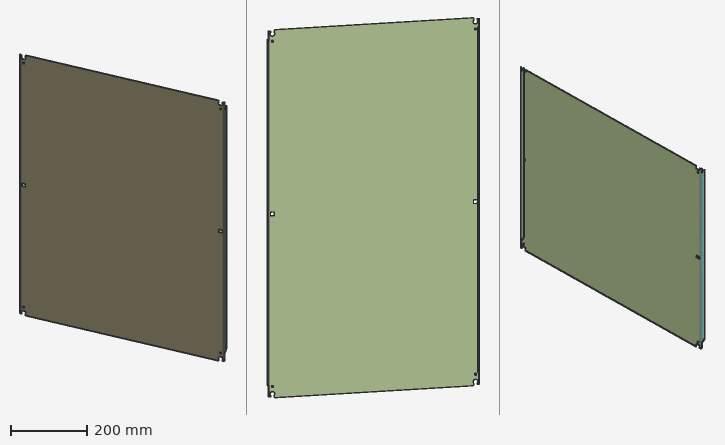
import cadquery as cq

width = 563.0
depth = 19.0
height = 1020.0
sheet = 2.5
bend_inner_radius = 1.0
bend_outer_radius = bend_inner_radius + sheet
bend_tab_depth = 5.0

flange_end_gap = 32.0
flange_corner = 3.0
bend_end_gap = 5.0

edge_to_openings = 11.0
mouth_width = 9.0
relief_diameter = 12.0
relief_depth = 17.0
corner_hole_diameter = 5.0
corner_hole_inset = 32.0
middle_hole_size = 10.0
tab_drop = 3.6
panel_corner = 2.0

opening_x = width / 2 - edge_to_openings
front_y = -depth / 2
back_y = depth / 2
clearance = 10.0
cut_depth = 2 * depth


def through_cutter(x, z, size_x, size_z):
    """Rectangular cutter running through the panel along Y."""
    return cq.Workplane("XY").box(size_x, cut_depth, size_z).translate((x, 0, z))


def round_cutter(x, z, diameter):
    """Round cutter running through the panel along Y."""
    plane = cq.Workplane("XZ", origin=(x, 0, z))
    return plane.circle(diameter / 2).extrude(cut_depth / 2, both=True)


def folded_channel():
    """Constant U section with rounded bends, over the full height."""
    outer = cq.Workplane("XY").box(width, depth, height)
    outer = outer.edges("|Z and <Y").fillet(bend_outer_radius)
    inner = cq.Workplane("XY").box(width - 2 * sheet, depth, height)
    inner = inner.edges("|Z and <Y").fillet(bend_inner_radius)
    return outer.cut(inner.translate((0, sheet, 0)))


def trim_flange_ends(body):
    """Shorten the flanges, leaving the bends longer, and clip their free corners."""
    bend_back_y = front_y + bend_tab_depth
    flange_top = height / 2 - flange_end_gap
    bend_top = height / 2 - bend_end_gap
    sheet_back_y = front_y + sheet
    past_end = height / 2 + clearance
    profile = (
        cq.Workplane("YZ")
        .moveTo(sheet_back_y, past_end)
        .lineTo(sheet_back_y, bend_top)
        .lineTo(bend_back_y, bend_top)
        .lineTo(bend_back_y, flange_top)
        .lineTo(back_y - flange_corner, flange_top)
        .lineTo(back_y, flange_top - flange_corner)
        .lineTo(back_y + clearance, flange_top - flange_corner)
        .lineTo(back_y + clearance, past_end)
        .close()
        .extrude(width, both=True)
    )
    return body.cut(profile).cut(profile.mirror("XY"))


def cut_corner(body, side, end):
    """Keyhole relief, lowered edge tab, clipped panel corner and fixing hole."""
    x = side * opening_x
    top = end * height / 2
    relief_z = top - end * (relief_depth - relief_diameter / 2)
    body = body.cut(round_cutter(x, relief_z, relief_diameter))
    body = body.cut(through_cutter(x, (top + relief_z) / 2, mouth_width, abs(top - relief_z)))
    body = body.cut(through_cutter(side * width / 2, top, 2 * edge_to_openings, 2 * tab_drop))

    inner_x = x - side * mouth_width / 2
    clip = (
        cq.Workplane("XZ")
        .polyline([
            (inner_x, top),
            (inner_x - side * panel_corner, top),
            (inner_x, top - end * panel_corner),
        ])
        .close()
        .extrude(cut_depth / 2, both=True)
    )
    body = body.cut(clip)
    return body.cut(round_cutter(x, top - end * corner_hole_inset, corner_hole_diameter))


result = trim_flange_ends(folded_channel())
for side in (-1, 1):
    for end in (-1, 1):
        result = cut_corner(result, side, end)
    result = result.cut(through_cutter(side * opening_x, 0, middle_hole_size, middle_hole_size))